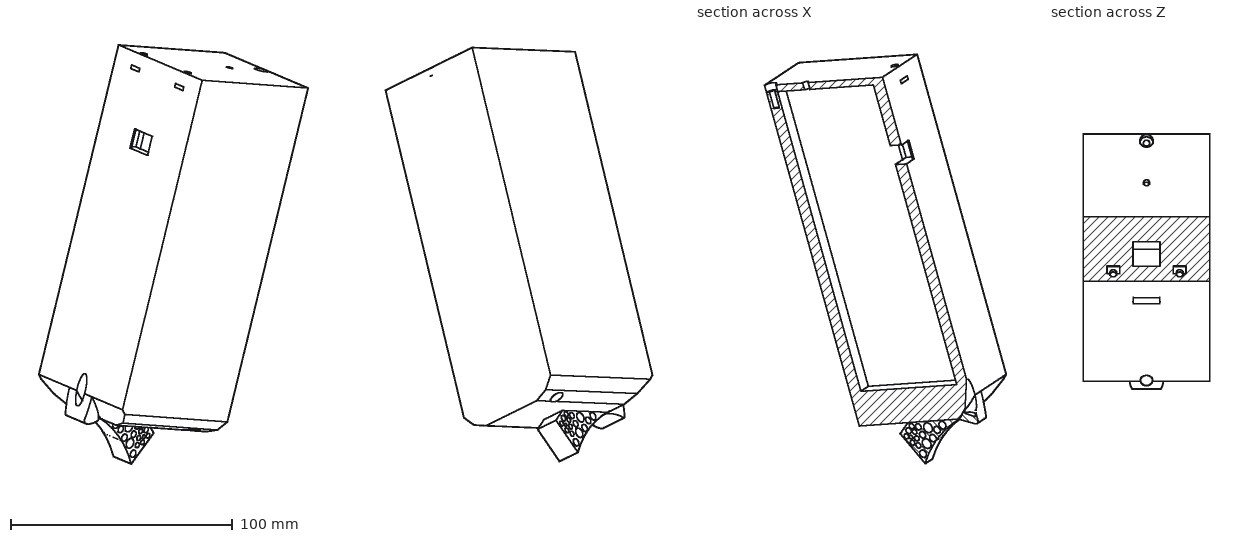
import cadquery as cq
import math

TILT = 18.0
WIDTH = 57.0
DEPTH = 67.0
HEIGHT = 165.0
HALF_WIDTH = WIDTH / 2

BEVEL_TOP_Z = 8.0
BEVEL_KNEE_X, BEVEL_KNEE_Z = 23.5, 2.8
BEVEL_FOOT_X = 16.8
FRONT_CUT = 10.1

WALL = 6.5
ROOF = 3.5
WINDOW_WIDTH = 12.0
WINDOW_HEIGHT = 9.0
WINDOW_TOP_DROP = 33.0
WINDOW_SKIN = 1.0
WINDOW_SLOT_WIDTH = 18.0

FRONT_SCREW_X = 15.0
FRONT_SCREW_Y = 3.5
FRONT_SCREW_DIAMETER = 3.2
SCREW_DIAMETER = 2.8
SCREW_DEPTH = 11.2
MIDDLE_HOLE_Y = 43.8
REAR_SCREW_Y = 63.6
COUNTERBORE_DIAMETER = 6.0
COUNTERBORE_DEPTH = 3.4

NUT_WIDTH = 5.6
NUT_HEIGHT = 1.7
NUT_DROP = 7.1
NUT_SKIN = 0.4

FOOT_HOLE_X = 19.3
FOOT_HOLE_Y = 56.1
FOOT_HOLE_DIAMETER = 6.0
FOOT_HOLE_TOP_Z = 4.7

NOSE_DIAMETER = 15.3
NOSE_AXIS_Y = 3.7
NOSE_BOTTOM_Z = -3.4
NOSE_TOP_Z = 16.8
NOSE_FILLET = 1.9
FIN_WIDTH = 12.2
FIN_FRONT_TOP = (7.9, 0.7)
FIN_FRONT_MIDDLE = (24.5, -7.9)
FIN_TIP = (36.1, -20.0)
FIN_REAR_CORNER = (45.5, -4.9)
FIN_REAR_TOP = (39.7, 0)
FIN_HOLES = [
    (20.5, -2.2, 3.5),
    (29.0, -3.0, 4.5),
    (24.3, -4.3, 3.2),
    (34.2, -2.2, 2.8),
    (37.8, -1.7, 2.5),
    (40.2, -3.7, 2.6),
    (37.0, -4.5, 2.2),
    (33.1, -6.2, 3.0),
    (27.9, -8.0, 3.4),
    (42.3, -6.4, 2.2),
    (39.9, -7.0, 1.65),
    (36.9, -7.7, 2.2),
    (32.2, -10.5, 4.5),
    (39.9, -9.5, 2.2),
    (37.0, -11.0, 2.5),
    (35.7, -15.2, 3.4),
]

BORE_DIAMETER = 5.5
BORE_ANGLE = 21.0
BORE_Z = 11.2
BORE_DEPTH = 10.1
BORE_RUN_OUT = 15.0


def lean(shape):
    """Lean an upright shape back to its final attitude."""
    return shape.rotate((0, 0, 0), (1, 0, 0), -TILT)


def block(width, y_front, y_rear, z_bottom, z_top):
    """Upright block centred on X = 0."""
    size = (width, y_rear - y_front, z_top - z_bottom)
    return cq.Workplane("XY").box(*size, centered=(True, False, False)).translate((0, y_front, z_bottom))


def upright_cylinder(x, y, diameter, z_bottom, z_top):
    return (
        cq.Workplane("XY", origin=(x, y, z_bottom))
        .circle(diameter / 2)
        .extrude(z_top - z_bottom)
    )


def housing_blank():
    """Solid housing with its bevelled underside and slanted front cut."""
    body = (
        cq.Workplane("XZ")
        .moveTo(-HALF_WIDTH, HEIGHT)
        .lineTo(-HALF_WIDTH, BEVEL_TOP_Z)
        .lineTo(-BEVEL_KNEE_X, BEVEL_KNEE_Z)
        .lineTo(-BEVEL_FOOT_X, 0)
        .lineTo(BEVEL_FOOT_X, 0)
        .lineTo(BEVEL_KNEE_X, BEVEL_KNEE_Z)
        .lineTo(HALF_WIDTH, BEVEL_TOP_Z)
        .lineTo(HALF_WIDTH, HEIGHT)
        .close()
        .extrude(-DEPTH)
    )
    front_cut = (
        cq.Workplane("YZ")
        .polyline([(0, 0), (FRONT_CUT, 0), (0, FRONT_CUT)])
        .close()
        .extrude(HALF_WIDTH, both=True)
    )
    return body.cut(front_cut)


def cut_window(body):
    """Window through the front skin, the wider slot behind it and the inner channel."""
    window_top = HEIGHT - WINDOW_TOP_DROP
    window_bottom = window_top - WINDOW_HEIGHT
    window = block(WINDOW_WIDTH, 0, WALL, window_bottom, window_top)
    slot = block(WINDOW_SLOT_WIDTH, WINDOW_SKIN, WALL, window_bottom, window_top)
    channel = block(WINDOW_WIDTH, WALL, DEPTH - WALL, FRONT_CUT + WALL, HEIGHT - ROOF)
    return body.cut(window).cut(slot).cut(channel)


def cut_top_holes(body):
    """Screw holes in the top face; the middle one opens into the channel."""
    screw_bottom = HEIGHT - SCREW_DEPTH
    for x in (-FRONT_SCREW_X, FRONT_SCREW_X):
        body = body.cut(upright_cylinder(x, FRONT_SCREW_Y, FRONT_SCREW_DIAMETER, screw_bottom, HEIGHT))
    for y in (MIDDLE_HOLE_Y, REAR_SCREW_Y):
        body = body.cut(upright_cylinder(0, y, SCREW_DIAMETER, screw_bottom, HEIGHT))
    counterbore = upright_cylinder(
        0, REAR_SCREW_Y, COUNTERBORE_DIAMETER, HEIGHT - COUNTERBORE_DEPTH, HEIGHT
    )
    return body.cut(counterbore)


def cut_nut_pockets(body):
    z_middle = HEIGHT - NUT_DROP
    pocket = block(NUT_WIDTH, NUT_SKIN, WALL, z_middle - NUT_HEIGHT / 2, z_middle + NUT_HEIGHT / 2)
    for x in (-FRONT_SCREW_X, FRONT_SCREW_X):
        body = body.cut(pocket.translate((x, 0, 0)))
    return body


def cut_foot_holes(body):
    for x in (-FOOT_HOLE_X, FOOT_HOLE_X):
        body = body.cut(upright_cylinder(x, FOOT_HOLE_Y, FOOT_HOLE_DIAMETER, 0, FOOT_HOLE_TOP_Z))
    return body


def slanted_bore():
    """Cylinder running down from the front face into the nose, with a flat floor."""
    angle = math.radians(BORE_ANGLE)
    downward = cq.Vector(0, math.sin(angle), -math.cos(angle))
    start = cq.Vector(0, 0, BORE_Z) - downward * BORE_RUN_OUT
    return cq.Workplane(
        cq.Solid.makeCylinder(BORE_DIAMETER / 2, BORE_RUN_OUT + BORE_DEPTH, start, downward)
    )


def make_nose():
    """Vertical round post, trimmed flush with the leaning front face and rounded below."""
    post = upright_cylinder(0, NOSE_AXIS_Y, NOSE_DIAMETER, NOSE_BOTTOM_Z, NOSE_TOP_Z)
    behind_front = lean(block(WIDTH, 0, DEPTH, -HEIGHT, HEIGHT))
    post = post.intersect(behind_front)
    lower_front_edge = cq.selectors.NearestToPointSelector((0, 0, NOSE_BOTTOM_Z))
    return post.edges("|X").edges(lower_front_edge).fillet(NOSE_FILLET)


def make_fin():
    """Perforated plate with a concave front, standing below the underside."""
    fin = (
        cq.Workplane("YZ")
        .moveTo(*FIN_FRONT_TOP)
        .threePointArc(FIN_FRONT_MIDDLE, FIN_TIP)
        .lineTo(*FIN_REAR_CORNER)
        .lineTo(*FIN_REAR_TOP)
        .close()
        .extrude(FIN_WIDTH / 2, both=True)
    )
    for y, z, diameter in FIN_HOLES:
        hole = cq.Workplane("YZ", origin=(0, y, z)).circle(diameter / 2).extrude(FIN_WIDTH, both=True)
        fin = fin.cut(hole)
    return fin


def make_housing():
    body = cut_window(housing_blank())
    body = cut_top_holes(body)
    body = cut_nut_pockets(body)
    body = cut_foot_holes(body)
    return lean(body.cut(slanted_bore()))


def make_support():
    """Nose and fin in one piece, fitted against the outside of the housing."""
    support = make_nose().union(lean(make_fin()))
    return support.cut(lean(housing_blank())).cut(lean(slanted_bore()))


housing = make_housing()
support = make_support()

result = cq.Compound.makeCompound([*housing.vals(), *support.vals()])